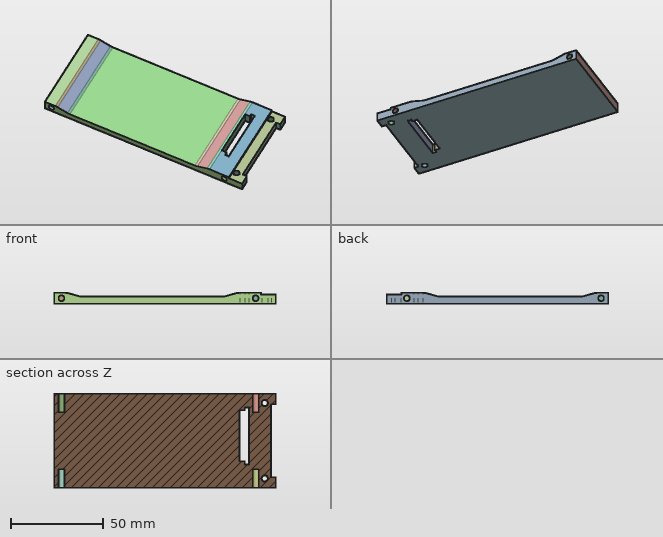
import cadquery as cq
import math

length = 120.0
width = 51.0
thickness = 6.0

recess_depth = 2.0
recess_floor = thickness - recess_depth
ramp_angle = 15.5
ramp_length = recess_depth / math.tan(math.radians(ramp_angle))
left_ramp_top = 7.0
right_ramp_top = 99.2
ramp_rounding = 5.5

step_start = 112.0
step_height = 5.0
notch_start = 117.5
notch_width = 39.5

slot_left = 100.3
slot_shoulder = 103.2
slot_right = 105.4
slot_wide_y = (-12.8, 17.9)
slot_narrow_y = (-11.0, 16.5)

step_hole_diameter = 3.2
step_hole_x = 114.0
step_hole_spacing = 40.8
edge_hole_diameter = 3.1
edge_hole_depth = 10.0
edge_hole_x = (4.0, 109.1)
edge_hole_z = thickness / 2


def make_plate():
    """Extrude the side profile across the width and round the ramp edges."""
    ramps = [
        (left_ramp_top, thickness),
        (left_ramp_top + ramp_length, recess_floor),
        (right_ramp_top - ramp_length, recess_floor),
        (right_ramp_top, thickness),
    ]
    profile = [(0, 0), (0, thickness)] + ramps + [
        (step_start, thickness),
        (step_start, step_height),
        (length, step_height),
        (length, 0),
    ]
    plate = cq.Workplane("XZ").polyline(profile).close().extrude(width / 2, both=True)
    for x, z in ramps:
        plate = plate.edges(cq.NearestToPointSelector((x, 0, z))).fillet(ramp_rounding)
    return plate


def cut_box(x_range, y_range):
    """Rectangular cutter through the full thickness."""
    x_size = x_range[1] - x_range[0]
    y_size = y_range[1] - y_range[0]
    cutter = cq.Workplane("XY").box(x_size, y_size, thickness, centered=False)
    return cutter.translate((x_range[0], y_range[0], 0))


def make_slot():
    narrow_part = cut_box((slot_left, slot_right), slot_narrow_y)
    wide_part = cut_box((slot_shoulder, slot_right), slot_wide_y)
    return narrow_part.union(wide_part)


def make_step_holes():
    half_spacing = step_hole_spacing / 2
    centres = [(step_hole_x, -half_spacing), (step_hole_x, half_spacing)]
    return cq.Workplane("XY").pushPoints(centres).circle(step_hole_diameter / 2).extrude(thickness)


def make_edge_holes():
    """Blind holes entering from the front long edge, mirrored to the back one."""
    centres = [(x, edge_hole_z) for x in edge_hole_x]
    front_edge = cq.Workplane("XZ", origin=(0, -width / 2, 0))
    front_holes = front_edge.pushPoints(centres).circle(edge_hole_diameter / 2).extrude(-edge_hole_depth)
    return front_holes.union(front_holes.mirror("XZ"))


result = (
    make_plate()
    .cut(cut_box((notch_start, length), (-notch_width / 2, notch_width / 2)))
    .cut(make_slot())
    .cut(make_step_holes())
    .cut(make_edge_holes())
)